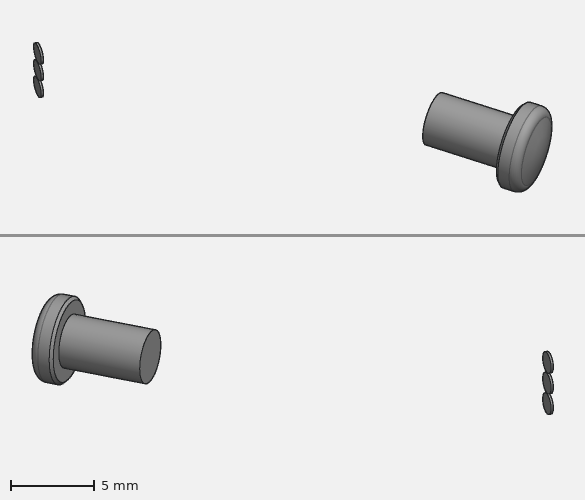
import cadquery as cq
import math

overall_length = 30.93
overall_width = 9.28

disc_diameter = 1.33
disc_thickness = 0.15
disc_pitch = 1.4
disc_count = 3
disc_facing = cq.Vector(1, 1, 0)
disc_half_extent = (disc_diameter + disc_thickness) / (2 * math.sqrt(2))

shank_diameter = 3.3
shank_length = 5.25
head_diameter = 5.4
head_chamfer = 0.2
rim_length = 0.93
edge_radius = 0.55
rivet_length = 7.08

head_radius = head_diameter / 2
shank_radius = shank_diameter / 2
rivet_start_x = overall_length - disc_half_extent - rivet_length
rivet_axis_y = overall_width - disc_half_extent - head_radius


def make_disc(center_z):
    """Disc centred on the Z axis at the given height."""
    back_center = disc_facing.normalized() * (-disc_thickness / 2) + cq.Vector(0, 0, center_z)
    face = cq.Plane(origin=back_center, xDir=(0, 0, 1), normal=disc_facing)
    return cq.Workplane(face).circle(disc_diameter / 2).extrude(disc_thickness)


def make_rivet():
    """Revolve the half profile of the shank and domed head about the rivet axis."""
    rim_end = shank_length + rim_length
    edge_center_r = head_radius - edge_radius

    dome_base = rim_end + edge_radius
    dome_height = rivet_length - dome_base
    dome_radius = (edge_center_r**2 + dome_height**2) / (2 * dome_height)
    half_angle = math.asin(edge_center_r / dome_radius) / 2
    dome_mid = (
        rivet_length - dome_radius * (1 - math.cos(half_angle)),
        dome_radius * math.sin(half_angle),
    )
    edge_mid = (
        rim_end + edge_radius * math.sqrt(0.5),
        edge_center_r + edge_radius * math.sqrt(0.5),
    )

    profile = (
        cq.Workplane("XY")
        .lineTo(0, shank_radius)
        .lineTo(shank_length, shank_radius)
        .lineTo(shank_length, head_radius - head_chamfer)
        .lineTo(shank_length + head_chamfer, head_radius)
        .lineTo(rim_end, head_radius)
        .threePointArc(edge_mid, (dome_base, edge_center_r))
        .threePointArc(dome_mid, (rivet_length, 0))
        .close()
    )
    rivet = profile.revolve(360, (0, 0, 0), (1, 0, 0))
    return rivet.translate((rivet_start_x, rivet_axis_y, 0))


discs = [make_disc((index - (disc_count - 1) / 2) * disc_pitch) for index in range(disc_count)]
rivet = make_rivet()

result = cq.Compound.makeCompound([*(disc.val() for disc in discs), rivet.val()])